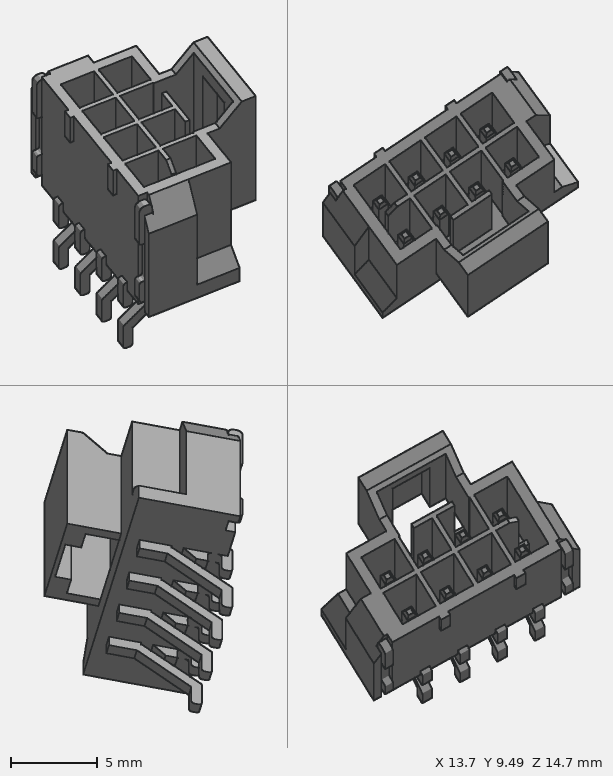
import cadquery as cq


housing_width = 13.74
housing_depth = 6.01
housing_height = 8.71
half_width = housing_width / 2
wing_depth = 3.2
top_half_width = 5.87
wing_slope_start = 6.7
back_left_side = -5.2
foot_ledge_side = -5.75
foot_height = 1.08

columns = 4
pitch = 2.5
center_x = 0.3
front_row_y = 1.75
cell_size = 2.21
floor_height = 1.8
divider = pitch - cell_size
row_ys = [front_row_y, front_row_y + pitch]
column_xs = [center_x + (i - (columns - 1) / 2) * pitch for i in range(columns)]
cells_right = column_xs[-1] + cell_size / 2
cells_back = row_ys[1] + cell_size / 2

key_start = 3.85
key_slope = 0.63
key_floor_height = 2.95

latch_back = 9.21
latch_top = 10.17
latch_width = 5.63
latch_side_wall = 0.52
latch_opening_back = 8.0
latch_flat_start = 8.28
latch_opening_width = latch_width - 2 * latch_side_wall
catch_width = 2.49
catch_depth = 0.95
catch_top = 8.89
screen_width = 2.71
screen_thickness = 0.3

rib_width = 0.62
rib_depth = 0.24
rib_bottom = wing_slope_start

pin_size = 0.63
pin_top = 6.49
pin_tip_size = 0.32
pin_tip_length = 0.32
leg_front = -0.28
leg_back = leg_front + pin_size
leg_round = 0.2
tail_drop = 0.75
back_leg_bottom = -4.57
back_tail_start = 5.23
back_tail_under = 3.58
back_foot_inner_top = -3.14
back_foot_outer_top = -2.73
back_slope_start = 3.33
back_slope_top = -0.13
front_leg_bottom = -1.3
front_leg_top = 0.68
stub_back = 2.62
stub_front = 1.18

clip_x = 6.0
clip_width = 0.52
channel_width = 0.72
channel_depth = 0.57
clip_recess = 0.19
clip_step_round = 0.16
clip_hook_round = 0.35
clip_bottom_round = 0.27
clip_top = 8.37
clip_upper_end = 5.53
clip_lower_start = 2.21
clip_bottom = 0.72


def box(x0, x1, y0, y1, z0, z1):
    """Box between opposite corners."""
    return cq.Workplane("XY").box(x1 - x0, y1 - y0, z1 - z0, centered=False).translate((x0, y0, z0))


def front_outline(points, y0, y1):
    """Extrude an XZ outline from y0 back to y1."""
    return cq.Workplane("XZ", origin=(0, y0, 0)).polyline(points).close().extrude(y0 - y1)


def side_plane(middle_x, width):
    """YZ workplane to extrude a profile of the given width centred on middle_x."""
    return cq.Workplane("YZ", origin=(middle_x - width / 2, 0, 0))


def make_body():
    wings = front_outline(
        [
            (-half_width, 0),
            (half_width, 0),
            (half_width, wing_slope_start),
            (top_half_width, housing_height),
            (-top_half_width, housing_height),
            (-half_width, wing_slope_start),
        ],
        0,
        wing_depth,
    )
    left_ledge_height = foot_height + half_width + foot_ledge_side
    right_ledge_height = foot_height + half_width - top_half_width
    back = front_outline(
        [
            (-half_width, 0),
            (half_width, 0),
            (half_width, foot_height),
            (top_half_width, right_ledge_height),
            (top_half_width, housing_height),
            (back_left_side, housing_height),
            (back_left_side, left_ledge_height),
            (foot_ledge_side, left_ledge_height),
            (-half_width, foot_height),
        ],
        wing_depth,
        housing_depth,
    )
    return wings.union(back)


def make_latch_frame():
    slope_drop = latch_top - housing_height
    frame = (
        side_plane(center_x, latch_width)
        .moveTo(housing_depth, floor_height)
        .lineTo(latch_back, floor_height)
        .lineTo(latch_back, latch_top)
        .lineTo(latch_flat_start, latch_top)
        .lineTo(latch_flat_start - slope_drop, housing_height)
        .lineTo(housing_depth, housing_height)
        .close()
        .extrude(latch_width)
    )
    catch = box(
        center_x - catch_width / 2, center_x + catch_width / 2,
        latch_opening_back, latch_opening_back + catch_depth,
        floor_height, catch_top,
    )
    return frame.cut(catch)


def make_latch_opening():
    """Space inside the latch frame, open through the back wall into the middle cavities."""
    return box(
        center_x - latch_opening_width / 2, center_x + latch_opening_width / 2,
        cells_back, latch_opening_back,
        floor_height, latch_top,
    )


def make_cells():
    return (
        cq.Workplane("XY", origin=(0, 0, floor_height))
        .pushPoints([(x, y) for x in column_xs for y in row_ys])
        .rect(cell_size, cell_size)
        .extrude(housing_height - floor_height)
    )


def make_screen():
    return box(
        center_x - screen_width / 2, center_x + screen_width / 2,
        cells_back, cells_back + screen_thickness,
        floor_height, housing_height,
    )


def make_key_notch():
    divider_front = row_ys[0] + cell_size / 2
    return front_outline(
        [
            (key_start, housing_height),
            (key_start + key_slope, housing_height - key_slope),
            (key_start + key_slope, key_floor_height),
            (cells_right, key_floor_height),
            (cells_right, housing_height),
        ],
        divider_front,
        divider_front + divider,
    )


def make_rib(side):
    """Rib whose outer side lines up with the outer side of the latch frame."""
    rib_x = center_x + side * (latch_width - rib_width) / 2
    return box(
        rib_x - rib_width / 2, rib_x + rib_width / 2,
        -rib_depth, 0,
        rib_bottom, housing_height,
    )


def make_pin(x, y):
    """Square mating pin with a pyramid tip, standing on the cavity floor."""
    shaft_top = pin_top - pin_tip_length
    shaft = box(
        x - pin_size / 2, x + pin_size / 2,
        y - pin_size / 2, y + pin_size / 2,
        floor_height, shaft_top,
    )
    tip = (
        cq.Workplane("XY", origin=(x, y, shaft_top))
        .rect(pin_size, pin_size)
        .workplane(offset=pin_tip_length)
        .rect(pin_tip_size, pin_tip_size)
        .loft(ruled=True)
    )
    return shaft.union(tip)


def make_back_leg(x):
    """Leg that leaves the underside, slopes forward and ends in a vertical foot."""
    leg = (
        side_plane(x, pin_size)
        .moveTo(back_tail_start, 0)
        .lineTo(back_tail_start, -tail_drop)
        .lineTo(back_tail_under, -tail_drop)
        .lineTo(leg_back, back_foot_inner_top)
        .lineTo(leg_back, back_leg_bottom)
        .lineTo(leg_front, back_leg_bottom)
        .lineTo(leg_front, back_foot_outer_top)
        .lineTo(back_slope_start, back_slope_top)
        .lineTo(back_slope_start, 0)
        .close()
        .extrude(pin_size)
    )
    foot_bottom_edges = leg.faces("<Z").edges("|X")
    outer_bend_edge = leg.faces("<Y").edges(">Z")
    return leg.newObject(foot_bottom_edges.vals() + outer_bend_edge.vals()).fillet(leg_round)


def make_front_leg(x):
    """Leg at the front face that turns straight down, joined to a stub under the housing."""
    r = leg_round
    leg = (
        side_plane(x, pin_size)
        .moveTo(stub_back, front_leg_top)
        .lineTo(stub_back, 0)
        .lineTo(stub_back - tail_drop, -tail_drop)
        .lineTo(stub_front, -tail_drop)
        .lineTo(stub_front, -r)
        .radiusArc((stub_front - r, 0), -r)
        .lineTo(leg_back + r, 0)
        .radiusArc((leg_back, -r), -r)
        .lineTo(leg_back, front_leg_bottom)
        .lineTo(leg_front, front_leg_bottom)
        .lineTo(leg_front, front_leg_top)
        .close()
        .extrude(pin_size)
    )
    foot_bottom_edges = leg.faces("<Z").edges("|X")
    outer_bend_edge = leg.faces("<Y").edges(">Z")
    return leg.newObject(foot_bottom_edges.vals() + outer_bend_edge.vals()).fillet(leg_round)


def make_clip_channel(x):
    return box(
        x - channel_width / 2, x + channel_width / 2,
        0, channel_depth,
        0, housing_height,
    )


def make_clip(x):
    """Bent strip lying in the channel: two pads stand proud, the middle is set back."""
    r = clip_step_round
    return (
        side_plane(x, clip_width)
        .moveTo(channel_depth, clip_bottom)
        .lineTo(leg_front + clip_bottom_round, clip_bottom)
        .radiusArc((leg_front, clip_bottom + clip_bottom_round), clip_bottom_round)
        .lineTo(leg_front, clip_lower_start)
        .radiusArc((leg_front + r, clip_lower_start + r), r)
        .lineTo(clip_recess - r, clip_lower_start + r)
        .radiusArc((clip_recess, clip_lower_start + 2 * r), -r)
        .lineTo(clip_recess, clip_upper_end - 2 * r)
        .radiusArc((clip_recess - r, clip_upper_end - r), -r)
        .lineTo(leg_front + r, clip_upper_end - r)
        .radiusArc((leg_front, clip_upper_end), r)
        .lineTo(leg_front, clip_top - clip_hook_round)
        .radiusArc((leg_front + clip_hook_round, clip_top), clip_hook_round)
        .lineTo(channel_depth - clip_hook_round, clip_top)
        .radiusArc((channel_depth, clip_top - clip_hook_round), clip_hook_round)
        .close()
        .extrude(clip_width)
    )


result = make_body().union(make_latch_frame())
result = result.cut(make_latch_opening()).cut(make_cells())
result = result.union(make_screen()).cut(make_key_notch())

for side in (-1, 1):
    result = result.union(make_rib(side))
    result = result.cut(make_clip_channel(side * clip_x)).union(make_clip(side * clip_x))

for x in column_xs:
    for y in row_ys:
        result = result.union(make_pin(x, y))
    result = result.union(make_back_leg(x)).union(make_front_leg(x))